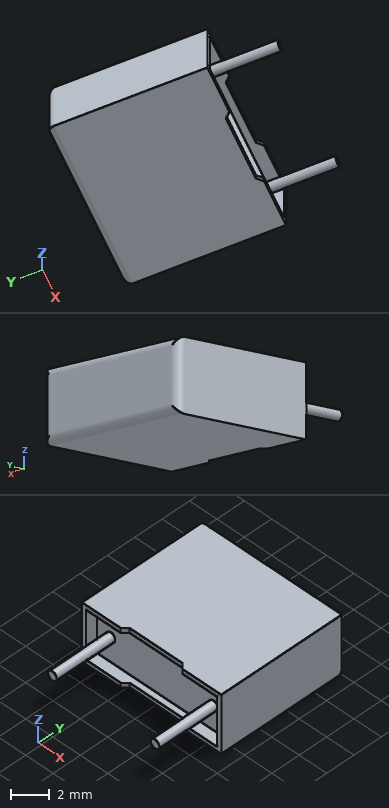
import cadquery as cq


width = 10.2
length = 9.1
height = 4.11
wall = 0.325
back_edge_radius = 0.5

notch_rim_width = 4.5
notch_depth = wall
notch_floor_width = notch_rim_width - 2 * notch_depth

fill_recess = 0.78
fill_width = width - 2 * wall
fill_height = height - 2 * wall
fill_length = length - wall - fill_recess

lead_diameter = 0.65
lead_pitch = 7.5
lead_protrusion = 3.5


def block(size_x, size_z, start_y, size_y):
    """Box centred on X and Z that runs from start_y towards +Y."""
    return (
        cq.Workplane("XY")
        .box(size_x, size_y, size_z, centered=(True, False, True))
        .translate((0, start_y, 0))
    )


def notch_cutter():
    """Trapezoidal prism through the full height, widest at the rim."""
    return (
        cq.Workplane("XY")
        .moveTo(-notch_rim_width / 2, 0)
        .lineTo(-notch_floor_width / 2, notch_depth)
        .lineTo(notch_floor_width / 2, notch_depth)
        .lineTo(notch_rim_width / 2, 0)
        .close()
        .extrude(height / 2, both=True)
    )


def make_housing():
    """Box open at -Y, with rounded edges around its closed end."""
    shell = block(width, height, 0, length).faces(">Y").edges().fillet(back_edge_radius)
    cavity = block(fill_width, fill_height, 0, length - wall)
    return shell.cut(cavity).cut(notch_cutter())


def make_filling():
    """Resin block that fills the cavity up to the recess."""
    return block(fill_width, fill_height, fill_recess, fill_length)


def make_lead(x):
    """Round wire standing on the resin face and pointing towards -Y."""
    return (
        cq.Workplane("XZ", origin=(x, fill_recess, 0))
        .circle(lead_diameter / 2)
        .extrude(fill_recess + lead_protrusion)
    )


housing = make_housing()
filling = make_filling()
leads = [make_lead(side * lead_pitch / 2) for side in (-1, 1)]

result = cq.Compound.makeCompound([housing.val(), filling.val(), *[lead.val() for lead in leads]])